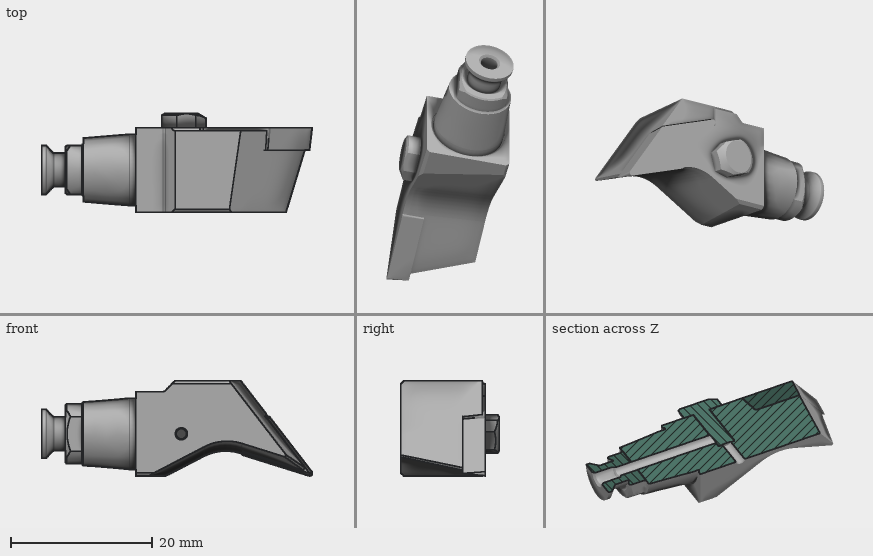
import cadquery as cq
import math


WIDTH = 12.0
HALF_WIDTH = WIDTH / 2
HEAD_X = 13.35
SHOULDER_Z = 6.0
BOTTOM_Z = -SHOULDER_Z
TOP_Z = 7.52
STEP_FOOT_X = 17.4
STEP_FILLET = 0.5
EDGE_CHAMFER = 0.45
COVE_RADIUS = 0.45

FRONT_SHIFT = (-1.73, 0.0)
ARCH_SHIFT = (0.2, 1.42)
TIP_SHIFT = (-3.55, 2.6)

FRONT_TOP_X = 28.3
CREST_X = 26.1
CREST_Z = -2.45
ARCH_RADIUS = 6.9
ARCH_REAR_SLOPE = 27.5
TIP_OFFSET = 0.15

SHANK_X = 5.9
SHANK_END_RADIUS = 4.53
SHANK_BASE_RADIUS = 5.05
SHANK_BASE_LENGTH = 0.92
SHANK_GROOVE_RADIUS = 5.35
SHANK_GROOVE_DEPTH = 0.2

STUD_HEAD_RADIUS = 3.5
STUD_RIM_LENGTH = 0.6
STUD_NECK_X = 1.65
STUD_FILLET = 0.1
STUD_NECK_RADIUS = 2.4
NECK_RECESS_RADIUS = 3.07
NECK_RECESS_DEPTH = 0.45
COLLAR_X = 3.38
COLLAR_RADIUS = 4.25
COLLAR_CHAMFER = 0.2
FLAT_OFFSET = 3.5
COLLAR_FLARE = 0.23
BEVEL_OFFSET = 4.3
BEVEL_RADIUS = 7.6
BEVEL_SPREAD = 0.8

BORE_RADIUS = 0.95
MOUTH_RADIUS = 1.23
MOUTH_DEPTH = 3.07
COUNTERSINK_RADIUS = 1.55

INSERT_SIDE = 11.05
INSERT_CORNER = 35.0
INSERT_LEAD = 17.4
INSERT_RADIUS = 0.4
INSERT_THICKNESS = 3.2
INSERT_CLEARANCE = 7.0
INSERT_TIP_X = 38.4
CHIP_RECESS_X = 22.42
CHIP_RECESS_DEPTH = 0.42
CHIP_RECESS_DROP = 1.15
SEAT_GAP = 0.23

NOZZLE_X = 19.8
NOZZLE_HEIGHT = 2.0
NOZZLE_RADIUS = 2.8
NOZZLE_FLAT = 2.4
NOZZLE_FRONT = 3.25
NOZZLE_CROWN_RADIUS = 2.35
NOZZLE_CROWN_ANGLE = 30.0
NOZZLE_NOSE_ANGLE = 30.0
NOZZLE_STEM_RADIUS = 1.25
NOZZLE_STEM_END_Y = -1.73
VENT_RADIUS = 0.73
VENT_CHAMFER = 0.1

FAR = 23.05


def polar(length, angle):
    """X and Z components of a vector at an angle in degrees above the X axis."""
    return length * math.cos(math.radians(angle)), length * math.sin(math.radians(angle))


def move(point, length, angle):
    """Point in X and Z shifted by a polar vector."""
    dx, dz = polar(length, angle)
    return point[0] + dx, point[1] + dz


def side_plane(y):
    """Sketch plane in X and Z at the given Y; extrusion goes toward -Y."""
    return cq.Workplane("XZ", origin=(0, y, 0))


def turned(profile):
    """Solid of revolution about the X axis; profile points are (x, radius)."""
    return cq.Workplane("XY").polyline(profile).close().revolve(360, (0, 0, 0), (1, 0, 0))


def relieved_cutter(sketch, shift):
    """Sweep an outline in the +Y face to the -Y face while it moves sideways by shift."""
    direction = cq.Vector(shift[0], -WIDTH, shift[1])
    return cq.Workplane(cq.Solid.extrudeLinear(sketch.val(), [], direction))


upper_edge_angle = 180 - INSERT_LEAD - INSERT_CORNER
lower_edge_angle = 180 - INSERT_LEAD
tip_angle = -INSERT_LEAD - INSERT_CORNER / 2
nose_center = (INSERT_TIP_X - INSERT_RADIUS, BOTTOM_Z + INSERT_RADIUS)
insert_tip = move(nose_center, INSERT_RADIUS / math.sin(math.radians(INSERT_CORNER / 2)), tip_angle)
insert_top = move(insert_tip, INSERT_SIDE, upper_edge_angle)
insert_low = move(insert_tip, INSERT_SIDE, lower_edge_angle)
insert_back = move(insert_top, INSERT_SIDE, lower_edge_angle)


def make_insert():
    """Rhombic insert with its cutting edges in the +Y face and relieved flanks."""
    outline = cq.Sketch().polygon([insert_tip, insert_top, insert_back, insert_low, insert_tip])
    outline = outline.vertices().fillet(INSERT_RADIUS)
    return side_plane(HALF_WIDTH).placeSketch(outline).extrude(INSERT_THICKNESS, taper=INSERT_CLEARANCE)


def make_nozzle():
    rear_reach = math.sqrt(NOZZLE_RADIUS**2 - NOZZLE_FLAT**2)
    front_half = NOZZLE_FLAT - (NOZZLE_FRONT - rear_reach) * math.tan(math.radians(NOZZLE_NOSE_ANGLE))
    head = (
        side_plane(HALF_WIDTH + NOZZLE_HEIGHT)
        .moveTo(-rear_reach, NOZZLE_FLAT)
        .lineTo(rear_reach, NOZZLE_FLAT)
        .lineTo(NOZZLE_FRONT, front_half)
        .lineTo(NOZZLE_FRONT, -front_half)
        .lineTo(rear_reach, -NOZZLE_FLAT)
        .lineTo(-rear_reach, -NOZZLE_FLAT)
        .threePointArc((-NOZZLE_RADIUS, 0), (-rear_reach, NOZZLE_FLAT))
        .close()
        .extrude(NOZZLE_HEIGHT)
    )
    crown_y = HALF_WIDTH + NOZZLE_HEIGHT
    crown_spread = NOZZLE_HEIGHT / math.tan(math.radians(NOZZLE_CROWN_ANGLE))
    crown = (
        cq.Workplane("XY")
        .polyline([
            (0, crown_y),
            (NOZZLE_CROWN_RADIUS, crown_y),
            (NOZZLE_CROWN_RADIUS + crown_spread, HALF_WIDTH),
            (0, HALF_WIDTH),
        ])
        .close()
        .revolve(360, (0, 0, 0), (0, 1, 0))
    )
    stem = side_plane(HALF_WIDTH).circle(NOZZLE_STEM_RADIUS).extrude(HALF_WIDTH - NOZZLE_STEM_END_Y)
    nozzle = head.intersect(crown).union(stem)
    return nozzle.rotate((0, 0, 0), (0, 1, 0), INSERT_LEAD).translate((NOZZLE_X, 0, 0))


def flat_cutter():
    """Tool that removes the +Y side of the collar down to the wrench flat, with a sloped run-out."""
    return (
        cq.Workplane("XY")
        .polyline([
            (COLLAR_X, FLAT_OFFSET),
            (SHANK_X - COLLAR_FLARE, FLAT_OFFSET),
            (SHANK_X, FLAT_OFFSET + COLLAR_FLARE),
            (SHANK_X, FAR),
            (COLLAR_X, FAR),
        ])
        .close()
        .extrude(COLLAR_RADIUS, both=True)
    )


def flat_bevel():
    """Cone around an offset axis; the collar material outside it, toward +Y, is bevelled off."""
    length = SHANK_X - COLLAR_X
    return (
        cq.Workplane("YZ", origin=(COLLAR_X, -BEVEL_OFFSET, 0))
        .circle(BEVEL_RADIUS)
        .workplane(offset=length)
        .circle(BEVEL_RADIUS + BEVEL_SPREAD * length)
        .loft()
    )


def make_collar():
    collar = turned([
        (COLLAR_X, 0),
        (COLLAR_X, COLLAR_RADIUS - COLLAR_CHAMFER),
        (COLLAR_X + COLLAR_CHAMFER, COLLAR_RADIUS),
        (SHANK_X - COLLAR_FLARE, COLLAR_RADIUS),
        (SHANK_X, COLLAR_RADIUS + COLLAR_FLARE),
        (SHANK_X, 0),
    ])
    recess = turned([
        (COLLAR_X, 0),
        (COLLAR_X, NECK_RECESS_RADIUS),
        (COLLAR_X + NECK_RECESS_DEPTH, STUD_NECK_RADIUS),
        (COLLAR_X + NECK_RECESS_DEPTH, 0),
    ])
    collar = collar.cut(recess)
    cutter = flat_cutter()
    bevel = flat_bevel()
    for turn in (0, 180):
        collar = collar.cut(cutter.rotate((0, 0, 0), (1, 0, 0), turn))
        collar = collar.intersect(bevel.rotate((0, 0, 0), (1, 0, 0), turn))
    return collar


def make_stud():
    neck_end_x = COLLAR_X + NECK_RECESS_DEPTH
    head_and_neck = turned([
        (0, 0),
        (0, STUD_HEAD_RADIUS),
        (STUD_RIM_LENGTH, STUD_HEAD_RADIUS),
        (STUD_NECK_X, STUD_NECK_RADIUS),
        (neck_end_x, STUD_NECK_RADIUS),
        (neck_end_x, 0),
    ])
    for edge_x in (STUD_RIM_LENGTH, STUD_NECK_X):
        edge = head_and_neck.edges("%CIRCLE").edges(cq.NearestToPointSelector((edge_x, 0, 0)))
        head_and_neck = edge.fillet(STUD_FILLET)
    sink = COUNTERSINK_RADIUS - MOUTH_RADIUS
    bore = turned([
        (0, 0),
        (0, COUNTERSINK_RADIUS),
        (sink, MOUTH_RADIUS),
        (MOUTH_DEPTH, MOUTH_RADIUS),
        (MOUTH_DEPTH + MOUTH_RADIUS - BORE_RADIUS, BORE_RADIUS),
        (SHANK_X, BORE_RADIUS),
        (SHANK_X, 0),
    ])
    return head_and_neck.union(make_collar()).cut(bore)


def make_head_blank():
    step_top_x = STEP_FOOT_X + TOP_Z - SHOULDER_Z
    blank = (
        side_plane(HALF_WIDTH)
        .polyline([
            (HEAD_X, BOTTOM_Z),
            (HEAD_X, SHOULDER_Z),
            (STEP_FOOT_X, SHOULDER_Z),
            (step_top_x, TOP_Z),
            (INSERT_TIP_X, TOP_Z),
            (INSERT_TIP_X, BOTTOM_Z),
        ])
        .close()
        .extrude(WIDTH)
    )
    blank = blank.edges(cq.NearestToPointSelector((STEP_FOOT_X, 0, SHOULDER_Z))).fillet(STEP_FILLET)
    blank = blank.edges("|X").edges("<Z").chamfer(EDGE_CHAMFER)
    return blank.edges("|X").edges(">Z").edges("<Y").chamfer(EDGE_CHAMFER)


def front_cutter():
    """Removes everything ahead of the sloping front face."""
    front_top = (FRONT_TOP_X, TOP_Z)
    upper = move(front_top, FAR, upper_edge_angle)
    lower = move(front_top, -FAR, upper_edge_angle)
    sketch = side_plane(HALF_WIDTH).polyline(
        [upper, lower, (lower[0] + FAR, lower[1]), (upper[0] + 2 * FAR, upper[1])]
    ).close()
    return relieved_cutter(sketch, FRONT_SHIFT)


def arch_cutter():
    """Removes everything below the arch and the underside of the nose."""
    arch_center = (CREST_X, CREST_Z - ARCH_RADIUS)
    rear = move(arch_center, ARCH_RADIUS, 90 + ARCH_REAR_SLOPE)
    front = move(arch_center, ARCH_RADIUS, 90 - INSERT_LEAD)
    rear_end = move(rear, -FAR, ARCH_REAR_SLOPE)
    front_end = move(front, FAR, -INSERT_LEAD)
    sketch = (
        side_plane(HALF_WIDTH)
        .moveTo(*rear_end)
        .lineTo(*rear)
        .threePointArc((CREST_X, CREST_Z), front)
        .lineTo(*front_end)
        .lineTo(front_end[0], rear_end[1])
        .close()
    )
    return relieved_cutter(sketch, ARCH_SHIFT)


def tip_cutter():
    """Removes the sharp edge ahead of the insert's nose centre."""
    across = tip_angle + 90
    edge = move(nose_center, TIP_OFFSET, tip_angle)
    upper = move(edge, FAR, across)
    lower = move(edge, -FAR, across)
    sketch = side_plane(HALF_WIDTH).polyline(
        [upper, lower, move(lower, FAR, tip_angle), move(upper, FAR, tip_angle)]
    ).close()
    return relieved_cutter(sketch, TIP_SHIFT)


def chip_recess_cutter():
    """Lowers the +Y face above the insert and clears the insert's rear corner."""
    front_x, front_z = insert_top
    return (
        side_plane(HALF_WIDTH)
        .polyline([
            (CHIP_RECESS_X, insert_back[1] - CHIP_RECESS_DROP),
            (CHIP_RECESS_X, TOP_Z),
            (front_x, TOP_Z),
            (front_x, front_z),
        ])
        .close()
        .extrude(CHIP_RECESS_DEPTH)
    )


def cove_cutter():
    """Hollow along the +Y edge of the top face, up to the chip recess."""
    return (
        cq.Workplane("YZ", origin=(STEP_FOOT_X, HALF_WIDTH, TOP_Z))
        .circle(COVE_RADIUS)
        .extrude(CHIP_RECESS_X - STEP_FOOT_X)
    )


def make_shank():
    base_x = HEAD_X - SHANK_BASE_LENGTH
    root_x = HEAD_X + SHANK_GROOVE_DEPTH
    return turned([
        (SHANK_X, 0),
        (SHANK_X, SHANK_END_RADIUS),
        (base_x, SHANK_BASE_RADIUS),
        (root_x, SHANK_BASE_RADIUS),
        (root_x, 0),
    ])


def vent_cutter():
    """Chamfered hole from the -Y face to the end of the nozzle stem."""
    mouth = VENT_RADIUS + VENT_CHAMFER
    return (
        cq.Workplane("XY", origin=(NOZZLE_X, 0, 0))
        .polyline([
            (0, -HALF_WIDTH),
            (mouth, -HALF_WIDTH),
            (VENT_RADIUS, VENT_CHAMFER - HALF_WIDTH),
            (VENT_RADIUS, NOZZLE_STEM_END_Y),
            (0, NOZZLE_STEM_END_Y),
        ])
        .close()
        .revolve(360, (0, 0, 0), (0, 1, 0))
    )


def make_holder(insert, nozzle):
    head = make_head_blank()
    for cutter in (front_cutter(), arch_cutter(), tip_cutter(), chip_recess_cutter(), cove_cutter()):
        head = head.cut(cutter)
    groove = cq.Workplane("YZ", origin=(HEAD_X, 0, 0)).circle(SHANK_GROOVE_RADIUS).extrude(SHANK_GROOVE_DEPTH)
    bore = cq.Workplane("YZ", origin=(SHANK_X, 0, 0)).circle(BORE_RADIUS).extrude(NOZZLE_X - SHANK_X)
    holder = head.cut(groove).union(make_shank()).cut(bore)
    gap_x, gap_z = polar(SEAT_GAP, 90 - INSERT_LEAD)
    holder = holder.cut(insert).cut(insert.translate((gap_x, 0, gap_z)))
    return holder.cut(vent_cutter()).cut(nozzle)


insert = make_insert()
nozzle = make_nozzle()
stud = make_stud()
holder = make_holder(insert, nozzle)

result = cq.Compound.makeCompound([holder.val(), stud.val(), insert.val(), nozzle.val()])